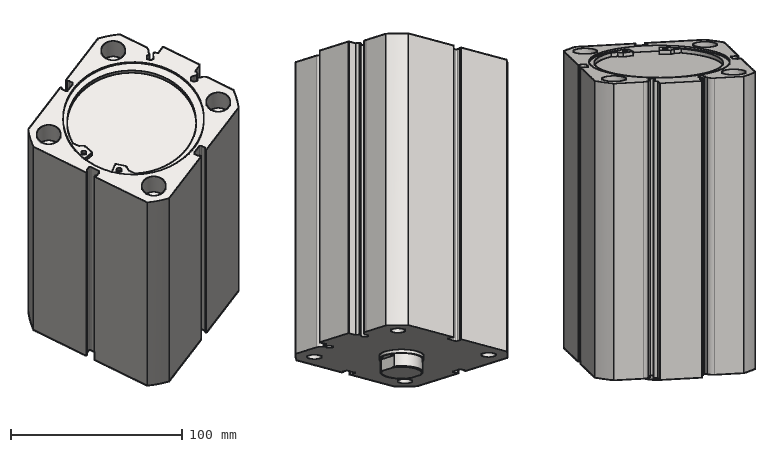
import cadquery as cq
import math

total_height = 188.5
rod_projection = 10.4
housing_height = total_height - rod_projection
housing_width = 96.5
half_width = housing_width / 2
corner_round_dia = 124.0
overall_depth = 102.0
rail_top = overall_depth - half_width
rail_width = 25.5
rail_edge_chamfer = 0.4

bolt_spacing = 72.0
bolt_hole_dia = 8.7
counterbore_dia = 14.1
counterbore_depth = 15.0

slot_mouth_width = 5.7
slot_inner_width = 7.2
slot_depth = 4.9
slot_lip = 1.0
slot_corner_radius = 1.0

groove_offset = 15.0
groove_center_y = 43.2
groove_radius = 2.0
groove_neck_half = 1.3
groove_neck_y = groove_center_y + math.sqrt(groove_radius**2 - groove_neck_half**2)
groove_nose_y = 46.2
groove_nose_inset = 0.2
groove_nose_top = 47.5
groove_flank_x = 17.7
groove_flank_y = 45.8
groove_mouth_x = 21.3
groove_mouth_mid = (19.5, 47.7)

bore_dia = 82.4
bore_radius = bore_dia / 2
ring_recess = 1.1
ring_thickness = 2.5
cover_thickness = 9.5
bore_depth = ring_recess + ring_thickness + cover_thickness
cover_bottom = housing_height - bore_depth
ring_bottom = cover_bottom + cover_thickness
ring_inner_radius = 37.7
ring_inner_shift = -2.0
ring_shoulder_x = 21.1
lug_neck = (17.0, -33.2)
lug_outer_corner = (14.3, -31.3)
lug_inner_corner = (8.0, -33.2)
lug_tip_x = 9.5
lug_hole_center = (12.0, -35.8)
lug_hole_dia = 3.0

rod_dia = 26.0
rod_shoulder_projection = 2.0
rod_end_dia = 24.7
rod_end_chamfer = 0.5
across_flats = 22.0
flat_length = 7.2


def barrel_section():
    """Square with turned corners, carrying a rail on the +Y side."""
    square = cq.Workplane("XY").rect(housing_width, housing_width).extrude(housing_height)
    turned = cq.Workplane("XY").circle(corner_round_dia / 2).extrude(housing_height)
    rail = (
        cq.Workplane("XY")
        .center(0, rail_top / 2)
        .rect(rail_width, rail_top)
        .extrude(housing_height)
        .edges("|Z and >Y")
        .chamfer(rail_edge_chamfer)
    )
    return square.intersect(turned).union(rail)


def sensor_slot(angle):
    """Slot with a lipped mouth, cut into the -Y side and then turned about Z."""
    pocket_length = slot_depth - slot_lip
    pocket = (
        cq.Workplane("XY")
        .center(0, -half_width + slot_lip + pocket_length / 2)
        .rect(slot_inner_width, pocket_length)
        .extrude(housing_height)
        .edges("|Z")
        .fillet(slot_corner_radius)
    )
    mouth_depth = slot_depth - slot_corner_radius
    mouth = (
        cq.Workplane("XY")
        .center(0, -half_width + mouth_depth / 2)
        .rect(slot_mouth_width, mouth_depth)
        .extrude(housing_height)
    )
    return pocket.union(mouth).rotate((0, 0, 0), (0, 0, 1), angle)


def rail_groove():
    """Groove on the +X side of the rail: a round bottom below a flared mouth."""
    bottom = (
        cq.Workplane("XY")
        .center(groove_offset, groove_center_y)
        .circle(groove_radius)
        .extrude(housing_height)
    )
    nose_x = groove_offset - groove_nose_inset
    mouth = (
        cq.Workplane("XY")
        .moveTo(groove_offset - groove_neck_half, groove_neck_y)
        .lineTo(nose_x, groove_nose_y)
        .lineTo(nose_x, groove_nose_top)
        .lineTo(rail_width / 2, half_width)
        .lineTo(groove_mouth_x, half_width)
        .threePointArc(groove_mouth_mid, (groove_flank_x, groove_flank_y))
        .lineTo(groove_offset + groove_neck_half, groove_neck_y)
        .lineTo(groove_offset, groove_center_y)
        .close()
        .extrude(housing_height)
    )
    return bottom.union(mouth)


def make_housing():
    """Barrel with its slots, grooves and bolt holes, a recess on top and a hole for the rod."""
    body = barrel_section()
    for angle in (-90, 0, 90):
        body = body.cut(sensor_slot(angle))
    groove = rail_groove()
    body = body.cut(groove).cut(groove.mirror("YZ"))
    body = (
        body.faces(">Z")
        .workplane(origin=(0, 0, housing_height))
        .rect(bolt_spacing, bolt_spacing, forConstruction=True)
        .vertices()
        .cboreHole(bolt_hole_dia, counterbore_dia, counterbore_depth)
    )
    bore = cq.Workplane("XY").workplane(offset=cover_bottom).circle(bore_radius).extrude(bore_depth)
    rod_hole = cq.Workplane("XY").circle(rod_dia / 2).extrude(cover_bottom)
    return body.cut(bore).cut(rod_hole)


def make_head_cover():
    """Plain disc on the floor of the bore, held down by the snap ring."""
    return cq.Workplane("XY").workplane(offset=cover_bottom).circle(bore_radius).extrude(cover_thickness)


def mirrored(point):
    """The same point on the other side of the Y axis."""
    return (-point[0], point[1])


def make_snap_ring():
    """Open ring, widest opposite its gap, with a drilled lug at each end."""
    lug_tip = (lug_tip_x, -math.sqrt(bore_radius**2 - lug_tip_x**2))
    shoulder_y = ring_inner_shift - math.sqrt(ring_inner_radius**2 - ring_shoulder_x**2)
    shoulder = (ring_shoulder_x, shoulder_y)
    inner_top = (0, ring_inner_shift + ring_inner_radius)
    ring = (
        cq.Workplane("XY")
        .workplane(offset=ring_bottom)
        .moveTo(*lug_tip)
        .threePointArc((0, bore_radius), mirrored(lug_tip))
        .lineTo(*mirrored(lug_inner_corner))
        .lineTo(*mirrored(lug_outer_corner))
        .lineTo(*mirrored(lug_neck))
        .lineTo(*mirrored(shoulder))
        .threePointArc(inner_top, shoulder)
        .lineTo(*lug_neck)
        .lineTo(*lug_outer_corner)
        .lineTo(*lug_inner_corner)
        .close()
        .extrude(ring_thickness)
    )
    lug_holes = (
        cq.Workplane("XY")
        .workplane(offset=ring_bottom)
        .pushPoints([lug_hole_center, mirrored(lug_hole_center)])
        .circle(lug_hole_dia / 2)
        .extrude(ring_thickness)
    )
    return ring.cut(lug_holes)


def make_rod():
    """Rod reaching up to the head cover, with a turned-down end and two wrench flats."""
    shank = (
        cq.Workplane("XY")
        .workplane(offset=-rod_shoulder_projection)
        .circle(rod_dia / 2)
        .extrude(rod_shoulder_projection + cover_bottom)
    )
    end = (
        cq.Workplane("XY")
        .workplane(offset=-rod_projection)
        .circle(rod_end_dia / 2)
        .extrude(rod_projection - rod_shoulder_projection)
        .faces("<Z")
        .chamfer(rod_end_chamfer)
    )
    flat_y = across_flats / 2
    end_radius = rod_end_dia / 2
    flat_top_z = flat_length - rod_projection
    flat_cut = (
        cq.Workplane("YZ")
        .moveTo(flat_y, -rod_projection)
        .lineTo(end_radius, -rod_projection)
        .lineTo(end_radius, flat_top_z + end_radius - flat_y)
        .lineTo(flat_y, flat_top_z)
        .close()
        .extrude(end_radius, both=True)
    )
    end = end.cut(flat_cut).cut(flat_cut.mirror("XZ"))
    return shank.union(end)


housing = make_housing()
head_cover = make_head_cover()
snap_ring = make_snap_ring()
rod = make_rod()

bodies = [housing, head_cover, snap_ring, rod]
result = cq.Compound.makeCompound([body.solids().val() for body in bodies])